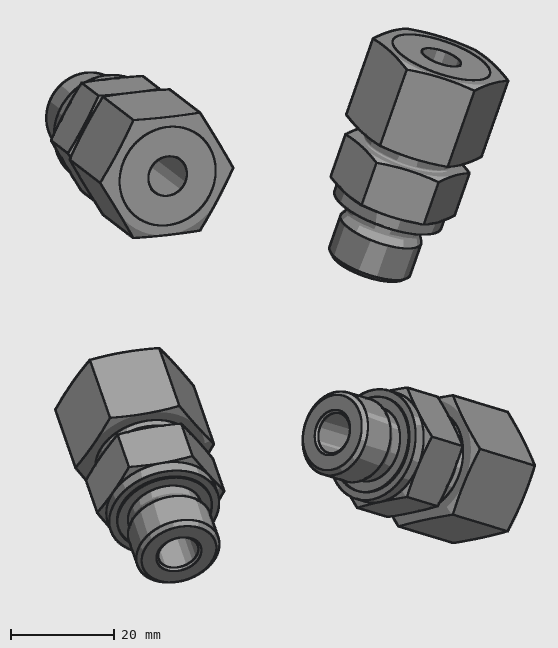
import cadquery as cq
import math


total_length = 45.0
thread_end = 7.7
seal_start = 11.65
flange_start = 12.0
body_hex_start = 14.45
body_hex_end = 24.55
nut_start = 27.5
shank_flare_start = 27.05

bore_diameter = 8.0
stud_diameter = 16.65
undercut_diameter = 14.7
seal_diameter = 18.9
shank_neck_diameter = 17.8
shank_diameter = 20.0
body_across_flats = 22.0
nut_across_flats = 24.0
flange_diameter = body_across_flats

stud_chamfer = 0.85
bore_chamfer = 0.5
undercut_fillet = 1.12
shank_root_fillet = 0.4
runout_angle = math.radians(30)
hex_chamfer_angle = math.radians(15)

stud_radius = stud_diameter / 2
undercut_radius = undercut_diameter / 2
shank_neck_radius = shank_neck_diameter / 2
shank_radius = shank_diameter / 2
shank_flare_end = shank_flare_start + (shank_radius - shank_neck_radius) / math.tan(runout_angle)
undercut_corner = thread_end + (stud_radius - undercut_radius) / math.tan(runout_angle)


def revolve_about_x(profile):
    """Turn a closed XY profile once around the X axis."""
    return profile.close().revolve(360, (0, 0, 0), (1, 0, 0))


def cylinder(start, end, diameter):
    """Solid cylinder on the X axis."""
    return cq.Workplane("YZ").workplane(offset=start).circle(diameter / 2).extrude(end - start)


def chamfered_hexagon(start, end, across_flats):
    """Hexagon with corners on +/-Y, its corners turned down to a cone at both ends."""
    flat_radius = across_flats / 2
    corner_radius = flat_radius / math.cos(math.radians(30))
    envelope_radius = 2 * corner_radius - flat_radius
    cone_length = (envelope_radius - flat_radius) * math.tan(hex_chamfer_angle)
    prism = (
        cq.Workplane("YZ")
        .workplane(offset=start)
        .polygon(6, 2 * corner_radius)
        .extrude(end - start)
    )
    envelope = revolve_about_x(
        cq.Workplane("XY")
        .moveTo(start, 0)
        .lineTo(start, flat_radius)
        .lineTo(start + cone_length, envelope_radius)
        .lineTo(end - cone_length, envelope_radius)
        .lineTo(end, flat_radius)
        .lineTo(end, 0)
    )
    return prism.intersect(envelope)


def make_stud():
    """Chamfered stud with a sloping thread runout and a rounded undercut."""
    half_angle = runout_angle / 2
    fillet_tangent = undercut_fillet * math.tan(half_angle)
    fillet_start = (
        undercut_corner - fillet_tangent * math.cos(runout_angle),
        undercut_radius + fillet_tangent * math.sin(runout_angle),
    )
    fillet_end = (undercut_corner + fillet_tangent, undercut_radius)
    fillet_middle = (
        fillet_end[0] - undercut_fillet * math.sin(half_angle),
        undercut_radius + undercut_fillet * (1 - math.cos(half_angle)),
    )
    return revolve_about_x(
        cq.Workplane("XY")
        .moveTo(0, 0)
        .lineTo(0, stud_radius - stud_chamfer)
        .lineTo(stud_chamfer, stud_radius)
        .lineTo(thread_end, stud_radius)
        .lineTo(*fillet_start)
        .threePointArc(fillet_middle, fillet_end)
        .lineTo(flange_start, undercut_radius)
        .lineTo(flange_start, 0)
    )


def make_shank():
    """Shank behind the body hexagon: root fillet, neck, flare and the part inside the nut."""
    arc_offset = shank_root_fillet * (1 - math.sqrt(0.5))
    return revolve_about_x(
        cq.Workplane("XY")
        .moveTo(body_hex_end, 0)
        .lineTo(body_hex_end, shank_neck_radius + shank_root_fillet)
        .threePointArc(
            (body_hex_end + arc_offset, shank_neck_radius + arc_offset),
            (body_hex_end + shank_root_fillet, shank_neck_radius),
        )
        .lineTo(shank_flare_start, shank_neck_radius)
        .lineTo(shank_flare_end, shank_radius)
        .lineTo(total_length, shank_radius)
        .lineTo(total_length, 0)
    )


def make_bore():
    """Through bore with a countersunk mouth at the stud end."""
    bore_radius = bore_diameter / 2
    return revolve_about_x(
        cq.Workplane("XY")
        .moveTo(0, 0)
        .lineTo(0, bore_radius + bore_chamfer)
        .lineTo(bore_chamfer, bore_radius)
        .lineTo(total_length, bore_radius)
        .lineTo(total_length, 0)
    )


def make_fitting_body():
    """Stud, flange, hexagon and shank in one piece with a bore right through."""
    return (
        make_stud()
        .union(cylinder(flange_start, body_hex_start, flange_diameter))
        .union(chamfered_hexagon(body_hex_start, body_hex_end, body_across_flats))
        .union(make_shank())
        .cut(make_bore())
    )


def make_sealing_ring():
    """Flat ring around the undercut, resting on the flange face."""
    ring = cylinder(seal_start, flange_start, seal_diameter)
    return ring.cut(cylinder(seal_start, flange_start, undercut_diameter))


def make_union_nut():
    """Hexagon nut around the end of the shank."""
    nut = chamfered_hexagon(nut_start, total_length, nut_across_flats)
    return nut.cut(cylinder(nut_start, total_length, shank_diameter))


fitting_body = make_fitting_body()
sealing_ring = make_sealing_ring()
union_nut = make_union_nut()

result = cq.Compound.makeCompound([
    fitting_body.solids().val(),
    sealing_ring.solids().val(),
    union_nut.solids().val(),
])